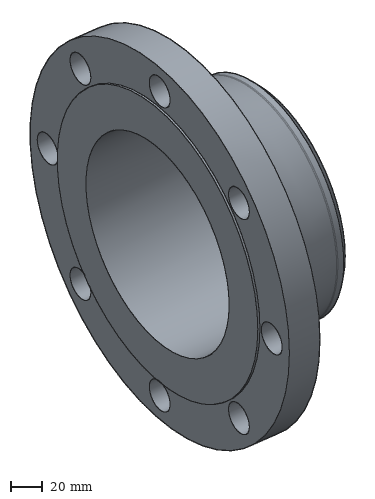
import cadquery as cq

flange_diameter = 279.5
total_length = 88.8
bore_diameter = 154.2
bolt_circle_diameter = 241.5
bolt_hole_diameter = 22.4
bolt_count = 8

raised_face_diameter = 216.0
raised_face_height = 1.7
flange_back = 25.5

hub_base_diameter = 191.7
neck_diameter = 168.2
neck_length = 10.0
blend_radius = 5.0

weld_land = 1.7
weld_bevel_length = 5.0

bore_radius = bore_diameter / 2
flange_radius = flange_diameter / 2
raised_face_radius = raised_face_diameter / 2
hub_base_radius = hub_base_diameter / 2
neck_radius = neck_diameter / 2
neck_start = total_length - neck_length


def make_body():
    """Revolve the flange, tapered hub and beveled weld neck about Y, then blend the hub ends."""
    profile = (
        cq.Workplane("XY")
        .moveTo(bore_radius, 0)
        .lineTo(raised_face_radius, 0)
        .lineTo(raised_face_radius, raised_face_height)
        .lineTo(flange_radius, raised_face_height)
        .lineTo(flange_radius, flange_back)
        .lineTo(hub_base_radius, flange_back)
        .lineTo(neck_radius, neck_start)
        .lineTo(neck_radius, total_length - weld_bevel_length)
        .lineTo(bore_radius + weld_land, total_length)
        .lineTo(bore_radius, total_length)
        .close()
    )
    body = profile.revolve(360, (0, 0, 0), (0, 1, 0))
    hub_ends = body.faces("%CONE").edges("%CIRCLE").edges(
        cq.selectors.BoxSelector(
            (-flange_diameter, flange_back / 2, -flange_diameter),
            (flange_diameter, neck_start + weld_bevel_length / 2, flange_diameter),
            boundingbox=True,
        )
    )
    return hub_ends.fillet(blend_radius)


def make_bolt_holes():
    """Cylinders through the flange, evenly spaced on the bolt circle."""
    return (
        cq.Workplane("XZ")
        .polarArray(bolt_circle_diameter / 2, 0, 360, bolt_count)
        .circle(bolt_hole_diameter / 2)
        .extrude(-flange_back)
    )


result = make_body().cut(make_bolt_holes())